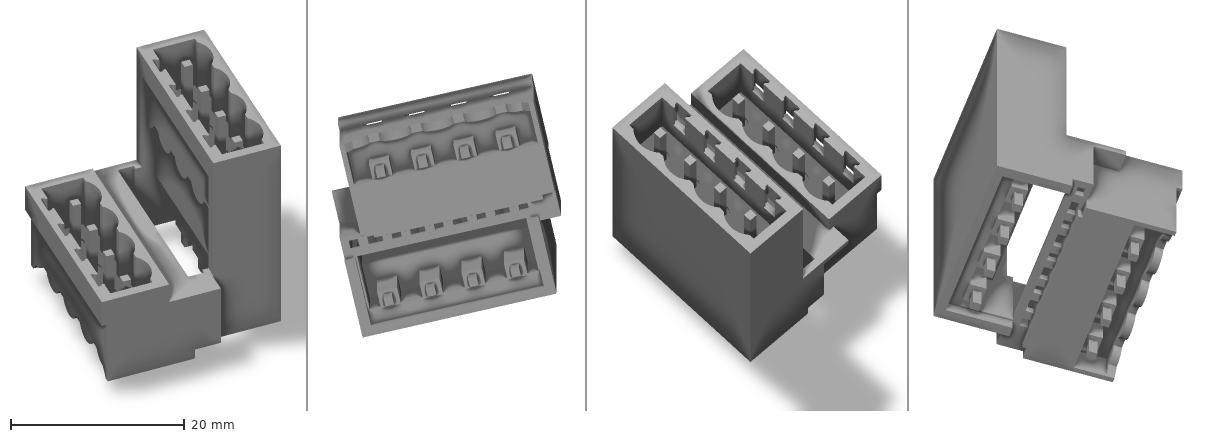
import cadquery as cq

overall_width = 25.5
overall_depth = 23.43
overall_height = 27.65
positions = 4
pitch = 5.0
row_shift = pitch / 2
row_width = overall_width - row_shift
row_depth = 8.45
half_span = positions * pitch / 2
pin_offsets = [(i - (positions - 1) / 2) * pitch for i in range(positions)]

rear_center = row_width / 2
front_center = rear_center + row_shift
rear_face = overall_depth - row_depth
front_face = 0.0

pin_side = 1.02
pin_tail = 1.55
pin_tip_drop = 0.83
pin_y = 4.62

rear_height = overall_height - pin_tail
front_height = 12.0

socket_half_width = 10.37
socket_front = 1.55
socket_back = 6.8
socket_depth = 6.92
bulge_half_width = 2.15
bulge_rise = 0.85
seat_diameter = 2.2
seat_depth = 0.28

key_mouth_half = 0.95
key_half = 1.2
key_flare_start = 1.3
key_flare_end = 1.08
key_depth = 4.15

rim_overhang = 0.75
wall_thickness = 1.0
wall_inner = rim_overhang + wall_thickness
rear_rim_height = 3.05
front_rim_height = 3.55
wave_flat_half = 0.65
rear_wave_top = rear_height - 9.3
rear_wave_valley = rear_height - 10.65
front_wave_top = 2.5
front_wave_valley = 1.2
front_wave_flare = 0.89

rear_cavity_height = 7.7
front_cavity_height = 3.32
cavity_back = 5.7
relief_height = 1.33
relief_back = 7.35
rear_relief_half = 10.23
block_width = 2.38
block_front = 3.7
block_bottom = 0.72

shelf_top = 9.4
shelf_thickness = 0.8
shelf_front = 7.72
base_front = 11.67
base_back = 14.88
rear_foot_front = 14.22
slot_front = 12.23
slot_half_width = 10.57
comb_thickness = 0.83
comb_bar_front = 13.28
tooth_width = 1.1
tooth_offset = 1.4


def box(x_range, y_range, z_range):
    """Box between two limits along each axis."""
    size = [high - low for low, high in (x_range, y_range, z_range)]
    return cq.Workplane("XY").box(*size, centered=False).translate((x_range[0], y_range[0], z_range[0]))


def centered_box(center, half_width, y_range, z_range):
    """Box that is symmetric about a centre in X."""
    return box((center - half_width, center + half_width), y_range, z_range)


def socket_cutter(center, face, top):
    """Open socket with a bulge in its back wall and a round pin seat at each position."""
    floor = top - socket_depth
    back = face + socket_back
    outline = (
        cq.Workplane("XY", origin=(center, 0, floor))
        .moveTo(-socket_half_width, face + socket_front)
        .lineTo(-socket_half_width, back)
    )
    for x in pin_offsets:
        outline = outline.lineTo(x - bulge_half_width, back).threePointArc(
            (x, back + bulge_rise), (x + bulge_half_width, back)
        )
    outline = outline.lineTo(socket_half_width, back).lineTo(socket_half_width, face + socket_front)
    seats = (
        cq.Workplane("XY", origin=(center, face + pin_y, floor - seat_depth))
        .pushPoints([(x, 0) for x in pin_offsets])
        .circle(seat_diameter / 2)
        .extrude(seat_depth)
    )
    return outline.close().extrude(socket_depth).union(seats)


def keyway_cutter(center, face, top):
    """Dovetail keyway, narrow at the socket and wide toward the front."""
    right_side = [
        (key_mouth_half, socket_front),
        (key_mouth_half, key_flare_start),
        (key_half, key_flare_end),
        (key_half, rim_overhang),
    ]
    left_side = [(-x, y) for x, y in reversed(right_side)]
    return (
        cq.Workplane("XY", origin=(center, face, top - key_depth))
        .polyline(right_side + left_side)
        .close()
        .extrude(key_depth)
    )


def wave_cutter(center, face, wave_top, wave_valley, flare):
    """Opening through the front wall, under a scalloped edge that is flat at each pin."""
    inset = pitch / 2 - wave_flat_half
    radius = (inset**2 + (wave_top - wave_valley) ** 2) / (2 * (wave_top - wave_valley))
    half_inset = inset / 2
    half_rise = radius - (radius**2 - half_inset**2) ** 0.5
    outline = (
        cq.Workplane("XZ", origin=(center, face + wall_inner, 0))
        .moveTo(-half_span - flare, 0)
        .lineTo(-half_span, wave_valley)
    )
    for x in pin_offsets:
        valley_left = x - pitch / 2
        valley_right = x + pitch / 2
        outline = (
            outline.threePointArc(
                (valley_left + half_inset, wave_valley + half_rise), (x - wave_flat_half, wave_top)
            )
            .lineTo(x + wave_flat_half, wave_top)
            .threePointArc(
                (valley_right - half_inset, wave_valley + half_rise), (valley_right, wave_valley)
            )
        )
    return outline.lineTo(half_span + flare, 0).close().extrude(wall_thickness)


def hanging_blocks(center, face, height):
    """Blocks that hang from the cavity ceiling around the pins of one row."""
    y_range = (face + block_front, face + cavity_back)
    return [centered_box(center + x, block_width / 2, y_range, (block_bottom, height)) for x in pin_offsets]


def rear_cavity_cutter():
    """Underside cavity of the rear row with its shallow relief at the foot, around the hanging blocks."""
    cavity = centered_box(
        rear_center, half_span, (rear_face + wall_inner, rear_face + cavity_back), (0, rear_cavity_height)
    )
    relief = centered_box(
        rear_center, rear_relief_half, (rear_foot_front, rear_face + relief_back), (0, relief_height)
    )
    cavity = cavity.union(relief)
    for block in hanging_blocks(rear_center, rear_face, rear_cavity_height):
        cavity = cavity.cut(block)
    return cavity


def front_cavity_cutter():
    """Underside cavity of the front row, around the hanging blocks."""
    cavity = centered_box(
        front_center,
        half_span + front_wave_flare,
        (front_face + wall_inner, front_face + cavity_back),
        (0, front_cavity_height),
    )
    for block in hanging_blocks(front_center, front_face, front_cavity_height):
        cavity = cavity.cut(block)
    return cavity


def pins(center, face, top):
    """Square pins of one row, each a separate solid."""
    side = pin_side / 2
    y_range = (face + pin_y - side, face + pin_y + side)
    z_range = (-pin_tail, top - pin_tip_drop)
    return [centered_box(center + x, side, y_range, z_range) for x in pin_offsets]


def housing_blank():
    """Outer shape of both rows and the base between them."""
    rear_row = box((0, row_width), (rear_face, overall_depth), (0, rear_height))
    rear_foot = box((0, row_width), (rear_foot_front, rear_face), (0, shelf_top))
    base = box((0, overall_width), (base_front, base_back), (relief_height, shelf_top))
    shelf = box((0, overall_width), (shelf_front, base_back), (shelf_top - shelf_thickness, shelf_top))
    front_x = (row_shift, overall_width)
    front_rim = box(front_x, (front_face, row_depth), (front_height - front_rim_height, front_height))
    front_upper = box(front_x, (rim_overhang, row_depth), (0, front_height))
    front_lower = box(front_x, (rim_overhang, base_front), (0, shelf_top))
    front_heel = centered_box(front_center, half_span, (base_front, slot_front), (0, relief_height))
    blank = rear_row
    for part in (rear_foot, base, shelf, front_rim, front_upper, front_lower, front_heel):
        blank = blank.union(part)
    return blank


def rear_recess_cutter():
    """Recess below the rear rim, open down through the rear foot."""
    y_range = (rear_foot_front, rear_face + rim_overhang)
    return centered_box(rear_center, half_span, y_range, (0, rear_height - rear_rim_height))


def comb():
    """Bar with teeth on both sides of every rear pin, across the bottom of the base slot."""
    z_range = (relief_height, relief_height + comb_thickness)
    shape = centered_box(rear_center, slot_half_width, (comb_bar_front, rear_foot_front), z_range)
    for x in pin_offsets:
        for side in (-1, 1):
            tooth_center = rear_center + x + side * tooth_offset
            shape = shape.union(
                centered_box(tooth_center, tooth_width / 2, (slot_front, comb_bar_front), z_range)
            )
    return shape


rear_pins = pins(rear_center, rear_face, rear_height)
front_pins = pins(front_center, front_face, front_height)

housing = housing_blank()
for center, face, top in (
    (rear_center, rear_face, rear_height),
    (front_center, front_face, front_height),
):
    housing = housing.cut(socket_cutter(center, face, top))
    for x in pin_offsets:
        housing = housing.cut(keyway_cutter(center + x, face, top))

housing = housing.cut(rear_recess_cutter())
housing = housing.cut(wave_cutter(rear_center, rear_face, rear_wave_top, rear_wave_valley, 0))
housing = housing.cut(rear_cavity_cutter())
housing = housing.cut(
    wave_cutter(front_center, front_face, front_wave_top, front_wave_valley, front_wave_flare)
)
housing = housing.cut(front_cavity_cutter())

housing = housing.cut(
    centered_box(rear_center, slot_half_width, (slot_front, rear_foot_front), (0, shelf_top))
)
housing = housing.union(comb())

for pin in rear_pins + front_pins:
    housing = housing.cut(pin)

result = cq.Compound.makeCompound([housing.val(), *[pin.val() for pin in rear_pins + front_pins]])